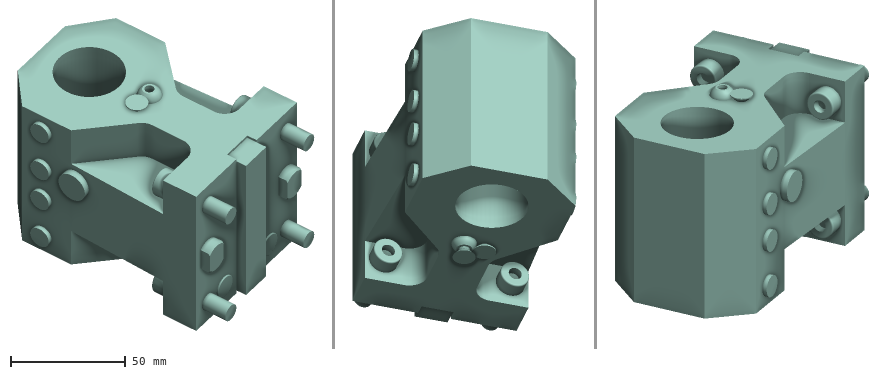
import cadquery as cq
import math


total_length = 123.5
height = 80.0
body_width = 70.0
body_half_width = body_width / 2
flange_width = 75.0
flange_half_width = flange_width / 2
flange_start = 93.0
flange_end = 110.9

nose_half_width = 17.5
nose_length = 15.1
shoulder_x = 41.5
bore_x = 25.9
bore_diameter = 32.1

neck_half_width = 11.5
pocket_depth = 20.0
pocket_fillet = 8.0

pocket_margin = 12.4

set_screw_diameter = 10.0
set_screw_projection = 2.1
set_screw_heights = [9.1, 31.2, 49.0, 71.1]

plug_x = 44.3
plug_z = 50.1
plug_diameter = 14.2
plug_projection = 3.5

mount_z = 40.3

bolt_spacing_y = 58.0
bolt_spacing_z = 57.8
bolt_diameter = 8.2
head_diameter = 13.1
head_length = 7.7
head_edge_fillet = 0.7
socket_diameter = 5.9
socket_depth = 4.1

key_width = 15.1
key_start = 105.8
key_end = 116.1
key_height = 77.1

pin_diameter = 15.1
pin_width = 10.3
pin_end = 115.8
pin_chamfer = 0.7

seal_y = 16.7
seal_z = 11.1
seal_diameter = 11.1
seal_projection = 0.7
seal_fillet = 0.4

coolant_x = 56.0
nozzle_y = 3.5
ball_radius = 5.8
ball_rim_radius = 3.2
ball_projection = 3.7
lower_ball_projection = 3.3
nozzle_hole_radius = 2.2
nozzle_hole_depth = 6.2
flared_plug_y = -5.9
flared_plug_radius = 5.1
flared_plug_projection = 2.7
flared_plug_rim = 0.5
spout_neck_radius = 2.6
spout_neck_end = 4.5
spout_radius = 5.1
spout_projection = 7.4

embed = 1.2


def along_x(x, y, z):
    """Work plane facing +X at the given point."""
    return cq.Workplane("YZ", origin=(x, y, z))


def mirrored_in_y(solid):
    return solid.union(solid.mirror("XZ"))


def make_body():
    half_outline = [
        (0, 0),
        (0, nose_half_width),
        (nose_length, body_half_width),
        (shoulder_x, body_half_width),
        (flange_start, flange_half_width),
        (flange_end, flange_half_width),
        (flange_end, 0),
    ]
    half = cq.Workplane("XY").polyline(half_outline).close().extrude(height)
    bore = cq.Workplane("XY").center(bore_x, 0).circle(bore_diameter / 2).extrude(height)
    return mirrored_in_y(half).cut(bore)


def make_pockets():
    """Corner pockets with a 45 degree front wall, open to the flanks and to the top or bottom."""
    outer_y = flange_half_width + pocket_margin
    wall_foot_x = shoulder_x + body_half_width - neck_half_width
    wall_top_x = wall_foot_x - (outer_y - neck_half_width)
    pocket = (
        cq.Workplane("XY")
        .moveTo(wall_top_x, outer_y)
        .lineTo(wall_foot_x, neck_half_width)
        .lineTo(flange_start, neck_half_width)
        .lineTo(flange_start, outer_y)
        .close()
        .extrude(pocket_depth)
        .edges("|Z and <Y")
        .fillet(pocket_fillet)
    )
    lower = mirrored_in_y(pocket)
    return lower.union(lower.translate((0, 0, height - pocket_depth)))


def make_set_screws():
    reach = body_half_width + set_screw_projection
    depth = set_screw_projection + embed
    points = [(bore_x, z) for z in set_screw_heights]
    front = (
        cq.Workplane("XZ", origin=(0, -reach, 0))
        .pushPoints(points)
        .circle(set_screw_diameter / 2)
        .extrude(-depth)
    )
    return mirrored_in_y(front)


def make_plug():
    face_y = -(body_half_width + plug_projection)
    plane = cq.Workplane("XZ", origin=(plug_x, face_y, plug_z))
    return plane.circle(plug_diameter / 2).extrude(-(plug_projection + embed))


def make_bolt(y, z):
    head_start = flange_start - head_length
    head = (
        along_x(head_start, y, z)
        .circle(head_diameter / 2)
        .extrude(head_length)
        .faces("<X")
        .edges()
        .fillet(head_edge_fillet)
    )
    socket = along_x(head_start, y, z).circle(socket_diameter / 2).extrude(socket_depth)
    shank = along_x(flange_start, y, z).circle(bolt_diameter / 2).extrude(total_length - flange_start)
    return head.cut(socket).union(shank)


def make_key_slot():
    slot = cq.Workplane("XY", origin=(key_start, 0, 0))
    return slot.box(flange_end - key_start, key_width, height, centered=(False, True, False))


def make_key():
    key = cq.Workplane("XY", origin=(key_start, 0, mount_z))
    return key.box(key_end - key_start, key_width, key_height, centered=(False, True, True))


def make_locating_pin(y):
    start = flange_end - embed
    length = pin_end - start
    cylinder = along_x(start, y, mount_z).circle(pin_diameter / 2).extrude(length)
    cylinder = cylinder.faces(">X").chamfer(pin_chamfer)
    flats = along_x(start, y, mount_z).rect(pin_width, pin_diameter).extrude(length)
    return cylinder.intersect(flats)


def make_seal(y):
    return (
        along_x(flange_end - embed, y, seal_z)
        .circle(seal_diameter / 2)
        .extrude(embed + seal_projection)
        .faces(">X")
        .edges()
        .fillet(seal_fillet)
    )


def make_ball_nozzle(projection):
    """Ball standing out of a face at Z = 0, cut flat at the given projection."""
    centre_z = ball_projection - math.sqrt(ball_radius ** 2 - ball_rim_radius ** 2)
    ball = cq.Workplane("XY").sphere(ball_radius).translate((0, 0, centre_z))
    limit = cq.Workplane("XY", origin=(0, 0, -embed)).circle(2 * ball_radius).extrude(embed + projection)
    return ball.intersect(limit).translate((coolant_x, nozzle_y, 0))


def make_nozzle_hole():
    tip = cq.Workplane("XY", origin=(coolant_x, nozzle_y, height + ball_projection))
    return tip.circle(nozzle_hole_radius).extrude(-nozzle_hole_depth)


def make_flared_plug():
    """Plug that widens at 45 degrees away from a face at Z = 0 and ends in a thin rim."""
    cone_end = flared_plug_projection - flared_plug_rim
    foot_radius = flared_plug_radius - (cone_end + embed)
    profile = [
        (0, -embed),
        (foot_radius, -embed),
        (flared_plug_radius, cone_end),
        (flared_plug_radius, flared_plug_projection),
        (0, flared_plug_projection),
    ]
    plug = cq.Workplane("XZ").polyline(profile).close().revolve(360, (0, 0), (0, 1))
    return plug.translate((coolant_x, flared_plug_y, 0))


def make_spout():
    """Neck and flared end below the lower ball nozzle."""
    profile = [
        (0, 0),
        (spout_neck_radius, 0),
        (spout_neck_radius, -spout_neck_end),
        (spout_radius, -spout_projection),
        (0, -spout_projection),
    ]
    spout = cq.Workplane("XZ").polyline(profile).close().revolve(360, (0, 0), (0, 1))
    return spout.translate((coolant_x, nozzle_y, 0))


result = make_body().cut(make_pockets()).cut(make_key_slot())
result = result.union(make_key())
result = result.union(make_set_screws())
result = result.union(make_plug())

for side in (-1, 1):
    bolt_y = side * bolt_spacing_y / 2
    for level in (-1, 1):
        bolt_z = mount_z + level * bolt_spacing_z / 2
        result = result.union(make_bolt(bolt_y, bolt_z))
    result = result.union(make_locating_pin(bolt_y))
    result = result.union(make_seal(side * seal_y))

result = result.union(make_ball_nozzle(ball_projection).translate((0, 0, height)))
result = result.union(make_ball_nozzle(lower_ball_projection).mirror("XY"))

flared_plug = make_flared_plug()
result = result.union(flared_plug.translate((0, 0, height)))
result = result.union(flared_plug.mirror("XY"))

result = result.union(make_spout())
result = result.cut(make_nozzle_hole())